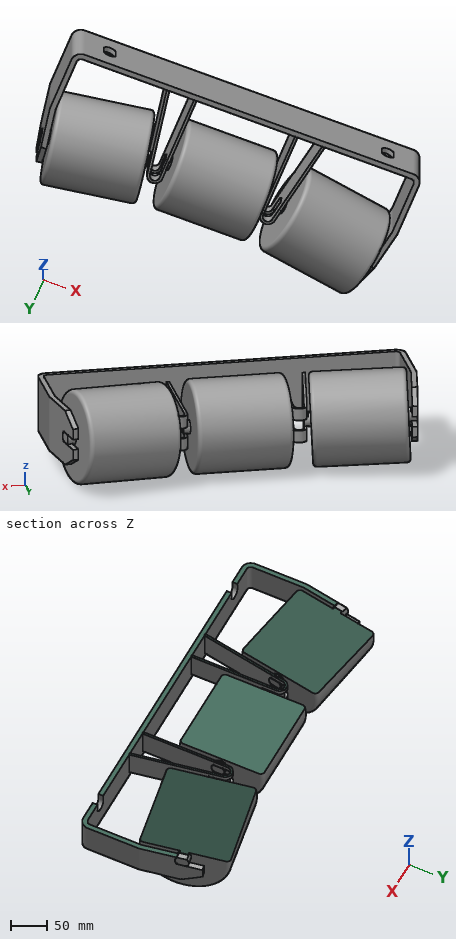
import cadquery as cq
import math


lean = 10.0
sin_lean = math.sin(math.radians(lean))
cos_lean = math.cos(math.radians(lean))
shaft_drop = 7.0

frame_length = 520.0
frame_thickness = 8.0
frame_height = 80.0
bend_inner_radius = 6.0
bend_outer_radius = bend_inner_radius + frame_thickness
arm_bend_y = 94.0
arm_tip_y = 184.5
arm_tip_chamfer_y = 154.0
arm_tip_height = 45.0
mounting_slot_spacing = 416.0
mounting_slot_width = 18.0
mounting_slot_height = 26.0

bracket_thickness = 4.0
bracket_height = 50.0
bracket_outer_radius = 11.0
bracket_inner_radius = bracket_outer_radius - bracket_thickness
bracket_top_y = 151.0

roller_diameter = 133.0
roller_length = 136.0
roller_edge_radius = 6.0
roller_gap = 5.5
shaft_diameter = 20.0
shaft_flats = 14.0
collar_length = 3.5
middle_roller_y = 125.0
side_roller_y = 141.11
side_shaft_rise = 6.85

slot_width = 15.0
slot_end_clearance = 0.5
slot_end_diameter = shaft_diameter + slot_end_clearance
slot_reach = 100.0

half_length = frame_length / 2
half_height = frame_height / 2
roller_to_leg = roller_length / 2 + roller_gap
bracket_x = roller_to_leg + bracket_outer_radius
bracket_y = bracket_top_y - bracket_outer_radius
leg_plane = bracket_x * cos_lean + bracket_y * sin_lean + bracket_outer_radius
arm_plane = half_length * cos_lean + arm_bend_y * sin_lean

side_roller_x = (leg_plane + roller_to_leg - side_roller_y * sin_lean) / cos_lean
roller_to_leg_outside = roller_to_leg + bracket_thickness
roller_to_arm_outside = arm_plane - side_roller_x * cos_lean - side_roller_y * sin_lean

roller_to_leg_middle = roller_to_leg + bracket_thickness / 2
roller_to_arm_middle = roller_to_arm_outside - frame_thickness / 2
side_span = roller_to_leg_middle + roller_to_arm_middle
side_tilt = math.degrees(math.atan(side_shaft_rise / side_span))
side_roller_z = -shaft_drop + side_shaft_rise * roller_to_leg_middle / side_span


def side_place(distance, z):
    """Point at a distance outward along the right side roller's level axis."""
    return (
        side_roller_x + distance * cos_lean,
        side_roller_y + distance * sin_lean,
        z,
    )


def slot_cutter(place, turn, depth):
    """Round-bottomed slot through a wall, open toward +Y before it turns about Z."""
    end_radius = slot_end_diameter / 2
    half_width = slot_width / 2
    arc_start_y = -math.sqrt(end_radius**2 - half_width**2)
    cutter = (
        cq.Workplane("YZ")
        .moveTo(slot_reach, half_width)
        .lineTo(arc_start_y, half_width)
        .threePointArc((-end_radius, 0), (arc_start_y, -half_width))
        .lineTo(slot_reach, -half_width)
        .close()
        .extrude(depth / 2, both=True)
    )
    return cutter.rotate((0, 0, 0), (0, 0, 1), turn).translate(place)


def make_frame():
    """Bent strip with a front wall and two arms that lean inward."""
    arm_run = (arm_tip_y - arm_bend_y) / cos_lean
    outer_tip = (half_length - arm_run * sin_lean, arm_tip_y)
    inner_tip = (
        outer_tip[0] - frame_thickness * cos_lean,
        outer_tip[1] - frame_thickness * sin_lean,
    )
    outer_corner = (half_length, 0)
    outer_bend = (half_length, arm_bend_y)
    inner_corner = (half_length - frame_thickness, frame_thickness)
    inner_bend = (
        half_length - frame_thickness,
        arm_bend_y - frame_thickness * math.tan(math.radians(lean / 2)),
    )
    outline = [
        (0, 0),
        outer_corner,
        outer_bend,
        outer_tip,
        inner_tip,
        inner_bend,
        inner_corner,
        (0, frame_thickness),
    ]
    half = cq.Workplane("XY").polyline(outline).close().extrude(half_height, both=True)

    bends = [
        (outer_corner, bend_outer_radius),
        (outer_bend, bend_outer_radius),
        (inner_bend, bend_inner_radius),
        (inner_corner, bend_inner_radius),
    ]
    for (x, y), radius in bends:
        half = half.edges(cq.selectors.NearestToPointSelector((x, y, 0))).fillet(radius)

    side_outline = [
        (0, -half_height),
        (arm_tip_chamfer_y, -half_height),
        (arm_tip_y, -arm_tip_height / 2),
        (arm_tip_y, arm_tip_height / 2),
        (arm_tip_chamfer_y, half_height),
        (0, half_height),
    ]
    half = half.intersect(
        cq.Workplane("YZ").polyline(side_outline).close().extrude(half_length)
    )

    slot_place = side_place(roller_to_arm_middle, 0)
    half = half.cut(slot_cutter(slot_place, lean, 2 * frame_thickness))

    mounting_slot = (
        cq.Workplane("XZ")
        .center(mounting_slot_spacing / 2, 0)
        .slot2D(mounting_slot_height, mounting_slot_width, 90)
        .extrude(-frame_thickness)
    )
    half = half.cut(mounting_slot)
    return half.union(half.mirror("YZ"))


def hairpin(radius):
    """Solid hairpin outline of one bend radius, standing on the front wall."""
    tangent_x = bracket_x + radius * cos_lean
    tangent_y = bracket_y + radius * sin_lean
    foot_x = tangent_x + (tangent_y - frame_thickness) * sin_lean / cos_lean
    return (
        cq.Workplane("XY", origin=(0, 0, -shaft_drop))
        .moveTo(bracket_x - radius, frame_thickness)
        .lineTo(bracket_x - radius, bracket_y)
        .threePointArc((bracket_x, bracket_y + radius), (tangent_x, tangent_y))
        .lineTo(foot_x, frame_thickness)
        .close()
        .extrude(bracket_height / 2, both=True)
    )


def make_bracket(side):
    """Hairpin bracket on the right (side = 1) or left (side = -1)."""
    bracket = hairpin(bracket_outer_radius).cut(hairpin(bracket_inner_radius))
    straight_leg_x = roller_to_leg + bracket_thickness / 2
    straight_place = (straight_leg_x, middle_roller_y, -shaft_drop)
    sloping_place = side_place(-roller_to_leg_middle, -shaft_drop)
    slot_depth = 2 * bracket_outer_radius
    bracket = bracket.cut(slot_cutter(straight_place, 0, slot_depth))
    bracket = bracket.cut(slot_cutter(sloping_place, lean, slot_depth))
    if side < 0:
        bracket = bracket.mirror("YZ")
    return bracket


def make_roller(left_reach, right_reach):
    """Roller along X whose shaft ends lie left_reach and right_reach from its middle."""
    drum = (
        cq.Workplane("YZ", origin=(-roller_length / 2, 0, 0))
        .circle(roller_diameter / 2)
        .extrude(roller_length)
        .edges()
        .fillet(roller_edge_radius)
    )
    shaft_length = left_reach + right_reach
    shaft = (
        cq.Workplane("YZ", origin=(-left_reach, 0, 0))
        .circle(shaft_diameter / 2)
        .extrude(shaft_length)
    )

    round_length = roller_length + 2 * collar_length
    flat_part = cq.Workplane("XY").box(2 * shaft_length, shaft_diameter, shaft_flats)
    round_part = cq.Workplane("XY").box(round_length, shaft_diameter, shaft_diameter)
    return drum.union(shaft.intersect(flat_part.union(round_part)))


def make_side_roller(side):
    """Leaning and tilted roller on the right (side = 1) or left (side = -1)."""
    left_reach = roller_to_leg_outside
    right_reach = roller_to_arm_outside
    if side < 0:
        left_reach, right_reach = right_reach, left_reach
    return (
        make_roller(left_reach, right_reach)
        .rotate((0, 0, 0), (0, 1, 0), -side * side_tilt)
        .rotate((0, 0, 0), (0, 0, 1), side * lean)
        .translate((side * side_roller_x, side_roller_y, side_roller_z))
    )


frame = make_frame()
brackets = [make_bracket(side) for side in (-1, 1)]
middle_roller = make_roller(roller_to_leg_outside, roller_to_leg_outside).translate(
    (0, middle_roller_y, -shaft_drop)
)
side_rollers = [make_side_roller(side) for side in (-1, 1)]

bodies = [frame, *brackets, middle_roller, *side_rollers]
result = cq.Compound.makeCompound([body.val() for body in bodies])